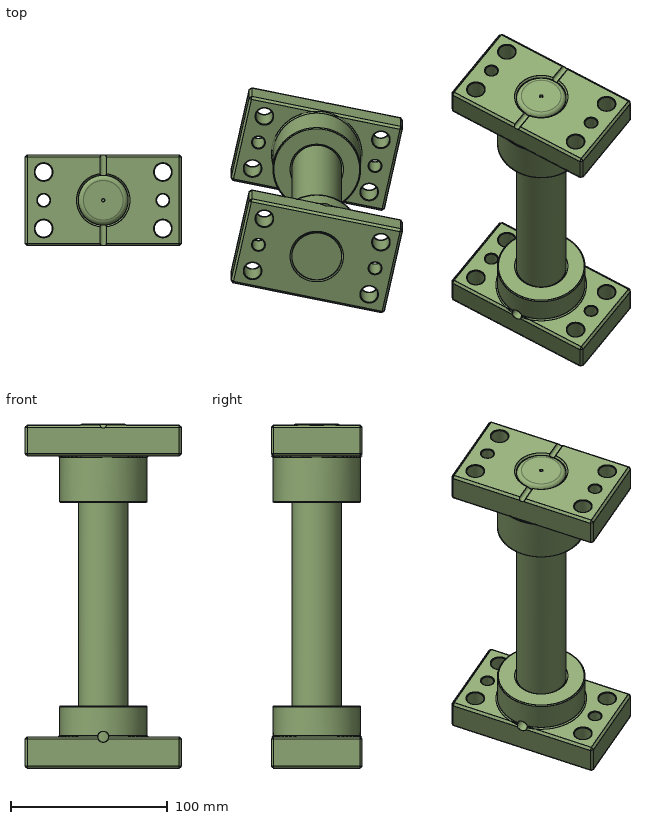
import cadquery as cq

total_height = 220.0
plate_length = 100.0
plate_width = 58.0
plate_chamfer = 1.5

base_plate_top = 20.2
base_boss_top = 40.0
bush_collar_bottom = 169.8
bush_plate_bottom = 199.5
bush_plate_top = 219.3

boss_diameter = 56.0
boss_edge_chamfer = 0.7
boss_root_fillet = 0.9

pillar_diameter = 32.0
pillar_end_fillet = 3.3
center_hole_diameter = 2.0
center_hole_depth = 2.2
bore_chamfer = 1.0

hole_spacing_x = 76.1
screw_spacing_y = 36.0
screw_hole_diameter = 11.0
dowel_hole_diameter = 8.0
hole_chamfer = 0.5

cross_hole_diameter = 7.0
vent_groove_diameter = 4.0

cut_overshoot = 2.2
seam_turn = -90


def make_plate(bottom, top):
    """Chamfered rectangular plate."""
    return (
        cq.Workplane("XY", origin=(0, 0, bottom))
        .rect(plate_length, plate_width)
        .extrude(top - bottom)
        .edges()
        .chamfer(plate_chamfer)
    )


def make_boss(root, end):
    """Round boss standing on a plate face, flared at the root and chamfered at the free end."""
    radius = boss_diameter / 2
    toward_end = 1 if end > root else -1
    return (
        cq.Workplane("XZ")
        .moveTo(0, root)
        .lineTo(radius + boss_root_fillet, root)
        .radiusArc((radius, root + toward_end * boss_root_fillet), toward_end * boss_root_fillet)
        .lineTo(radius, end - toward_end * boss_edge_chamfer)
        .lineTo(radius - boss_edge_chamfer, end)
        .lineTo(0, end)
        .close()
        .revolve()
    )


def chamfered_hole(diameter, chamfer, bottom, top):
    """Cutter for a through hole along Z with a countersink at both ends."""
    radius = diameter / 2
    return (
        cq.Workplane("XZ")
        .moveTo(0, bottom)
        .lineTo(radius + chamfer, bottom)
        .lineTo(radius, bottom + chamfer)
        .lineTo(radius, top - chamfer)
        .lineTo(radius + chamfer, top)
        .lineTo(0, top)
        .close()
        .revolve()
    )


def cut_fixing_holes(body, bottom, top):
    """Two rows of screw, dowel and screw holes through a plate."""
    screw_hole = chamfered_hole(screw_hole_diameter, hole_chamfer, bottom, top)
    dowel_hole = chamfered_hole(dowel_hole_diameter, hole_chamfer, bottom, top)
    for x in (-hole_spacing_x / 2, hole_spacing_x / 2):
        body = body.cut(dowel_hole.translate((x, 0, 0)))
        for y in (-screw_spacing_y / 2, screw_spacing_y / 2):
            body = body.cut(screw_hole.translate((x, y, 0)))
    return body


def rod_along_y(diameter, height):
    """Cutter along Y across the full plate width; its seam is turned upward, off the plate face."""
    length = plate_width + 2 * cut_overshoot
    return (
        cq.Workplane("XZ", origin=(0, 0, height))
        .circle(diameter / 2)
        .extrude(length / 2, both=True)
        .rotate((0, 0, height), (0, 1, height), seam_turn)
    )


def make_base():
    """Lower plate with its boss, holding the foot of the pillar."""
    body = make_plate(0, base_plate_top).union(make_boss(base_plate_top, base_boss_top))
    body = body.cut(chamfered_hole(pillar_diameter, bore_chamfer, 0, base_boss_top))
    body = cut_fixing_holes(body, 0, base_plate_top)
    return body.cut(rod_along_y(cross_hole_diameter, base_plate_top))


def make_bush():
    """Upper plate with its collar, guided on the pillar."""
    body = make_plate(bush_plate_bottom, bush_plate_top)
    body = body.union(make_boss(bush_plate_bottom, bush_collar_bottom))
    body = body.cut(chamfered_hole(pillar_diameter, bore_chamfer, bush_collar_bottom, bush_plate_top))
    body = cut_fixing_holes(body, bush_plate_bottom, bush_plate_top)
    return body.cut(rod_along_y(vent_groove_diameter, bush_plate_top))


def make_pillar():
    """Round pillar with a rounded upper end and a small center hole."""
    return (
        cq.Workplane("XY")
        .circle(pillar_diameter / 2)
        .extrude(total_height)
        .faces(">Z")
        .edges()
        .fillet(pillar_end_fillet)
        .faces(">Z")
        .workplane()
        .hole(center_hole_diameter, center_hole_depth)
    )


base = make_base().solids()
bush = make_bush().solids()
pillar = make_pillar().solids()

result = cq.Compound.makeCompound([base.val(), bush.val(), pillar.val()])